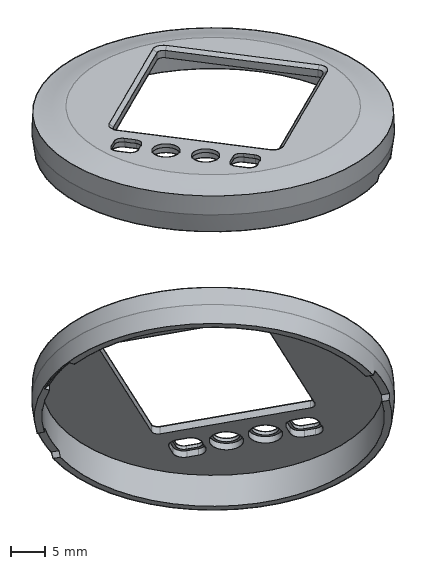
import cadquery as cq

height = 7.0
face_radius = 21.5
shoulder_radius = 26.35
shoulder_height = 6.05
rim_radius = 26.5
rim_height = 3.0
base_radius = 26.1

plate_thickness = 1.7
cavity_radius = 25.0
cavity_height = height - plate_thickness

window_width = 25.1
window_length = 26.2
window_center_y = 2.8
window_corner_radius = 1.0
window_bevel_width = 0.65
window_bevel_depth = 0.5

button_size = 4.1
button_corner_radius = 1.2
button_pitch = 6.0
button_row_y = -15.2
button_lip_thickness = 0.6
button_step = 0.45

notch_depth = 0.9
notch_bottom_width = 7.4
notch_top_width = 6.6

relief_height = 1.0
relief_depth = 0.85
relief_width = 8.1
relief_angle = 45.0


def make_shell():
    """Solid disc with a drafted rim and an S-curved shoulder."""
    handle = (shoulder_radius - face_radius) / 3
    shoulder_curve = [
        (shoulder_radius, shoulder_height),
        (shoulder_radius - handle, shoulder_height),
        (face_radius + handle, height),
        (face_radius, height),
    ]
    return (
        cq.Workplane("XZ")
        .lineTo(base_radius, 0)
        .lineTo(rim_radius, rim_height)
        .lineTo(shoulder_radius, shoulder_height)
        .bezier(shoulder_curve)
        .lineTo(0, height)
        .close()
        .revolve(360, (0, 0, 0), (0, 1, 0))
    )


def make_cavity():
    return cq.Workplane("XY").circle(cavity_radius).extrude(cavity_height)


def rounded_rectangle(width, length, corner_radius):
    return cq.Sketch().rect(width, length).vertices().fillet(corner_radius)


def make_window():
    """Rounded opening with a bevel around its top edge."""
    bevel_start = height - window_bevel_depth
    inner = rounded_rectangle(window_width, window_length, window_corner_radius)
    outer = rounded_rectangle(
        window_width + 2 * window_bevel_width,
        window_length + 2 * window_bevel_width,
        window_corner_radius + window_bevel_width,
    )
    opening = cq.Workplane("XY").placeSketch(inner).extrude(height)
    bevel = (
        cq.Workplane("XY", origin=(0, 0, bevel_start))
        .placeSketch(inner, outer.moved(cq.Location(cq.Vector(0, 0, window_bevel_depth))))
        .loft()
    )
    return opening.union(bevel).translate((0, window_center_y, 0))


def make_button(lip_outline, lower_outline, offset):
    """Button opening with a thin lip at the top and a wider part below it."""
    lip_bottom = height - button_lip_thickness
    lip = cq.Workplane("XY").placeSketch(lip_outline).extrude(height)
    lower = cq.Workplane("XY").placeSketch(lower_outline).extrude(lip_bottom)
    return lip.union(lower).translate((offset, button_row_y, 0))


def make_round_button(offset):
    radius = button_size / 2
    return make_button(cq.Sketch().circle(radius), cq.Sketch().circle(radius + button_step), offset)


def make_square_button(offset):
    lower_size = button_size + 2 * button_step
    lip_outline = rounded_rectangle(button_size, button_size, button_corner_radius)
    lower_outline = rounded_rectangle(lower_size, lower_size, button_corner_radius + button_step)
    return make_button(lip_outline, lower_outline, offset)


def make_notches():
    return (
        cq.Workplane("YZ")
        .moveTo(-notch_bottom_width / 2, 0)
        .lineTo(notch_bottom_width / 2, 0)
        .lineTo(notch_top_width / 2, notch_depth)
        .lineTo(-notch_top_width / 2, notch_depth)
        .close()
        .extrude(rim_radius, both=True)
    )


def make_relief():
    """Cone around the lower inner edge, kept only across the relief width."""
    cone = (
        cq.Workplane("XZ")
        .lineTo(cavity_radius + relief_depth, 0)
        .lineTo(cavity_radius, relief_height)
        .lineTo(0, relief_height)
        .close()
        .revolve(360, (0, 0, 0), (0, 1, 0))
    )
    band = cq.Workplane("XY").box(rim_radius, relief_width, height, centered=(False, True, False))
    return cone.intersect(band).rotate((0, 0, 0), (0, 0, 1), relief_angle)


result = make_shell().cut(make_cavity()).cut(make_window())
for side in (-1, 1):
    result = result.cut(make_round_button(side * button_pitch / 2))
    result = result.cut(make_square_button(side * button_pitch * 3 / 2))
result = result.cut(make_notches()).cut(make_relief())